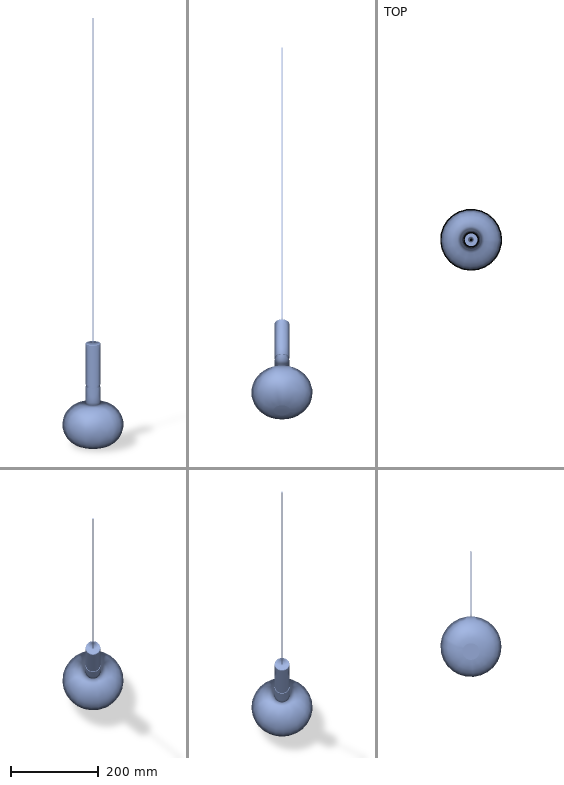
import cadquery as cq

total_height = 1021.0
globe_diameter = 140.0
globe_height = 101.0
holder_diameter = 34.0
holder_top = 245.0
holder_chamfer = 1.0
cord_diameter = 3.0

groove_bottom = 141.0
groove_width = 6.0
groove_depth = 1.0


def make_globe():
    """Flattened globe: a half-round rim swept around a flat-ended core."""
    rim_radius = globe_height / 2
    core_radius = globe_diameter / 2 - rim_radius
    profile = (
        cq.Workplane("XZ")
        .lineTo(core_radius, 0)
        .threePointArc((globe_diameter / 2, rim_radius), (core_radius, globe_height))
        .lineTo(0, globe_height)
        .close()
    )
    return profile.revolve(360, (0, 0, 0), (0, 1, 0))


def make_holder():
    """Lamp holder: a cylinder on the globe, with a groove and a chamfered top."""
    holder = (
        cq.Workplane("XY")
        .workplane(offset=globe_height)
        .circle(holder_diameter / 2)
        .extrude(holder_top - globe_height)
        .faces(">Z")
        .chamfer(holder_chamfer)
    )
    groove = (
        cq.Workplane("XY")
        .workplane(offset=groove_bottom)
        .circle(holder_diameter / 2)
        .circle(holder_diameter / 2 - groove_depth)
        .extrude(groove_width)
    )
    return holder.cut(groove)


def make_cord():
    """Straight cord rising from the top of the holder."""
    return (
        cq.Workplane("XY")
        .workplane(offset=holder_top)
        .circle(cord_diameter / 2)
        .extrude(total_height - holder_top)
    )


globe = make_globe()
holder = make_holder()
cord = make_cord()

result = cq.Compound.makeCompound([globe.val(), holder.val(), cord.val()])